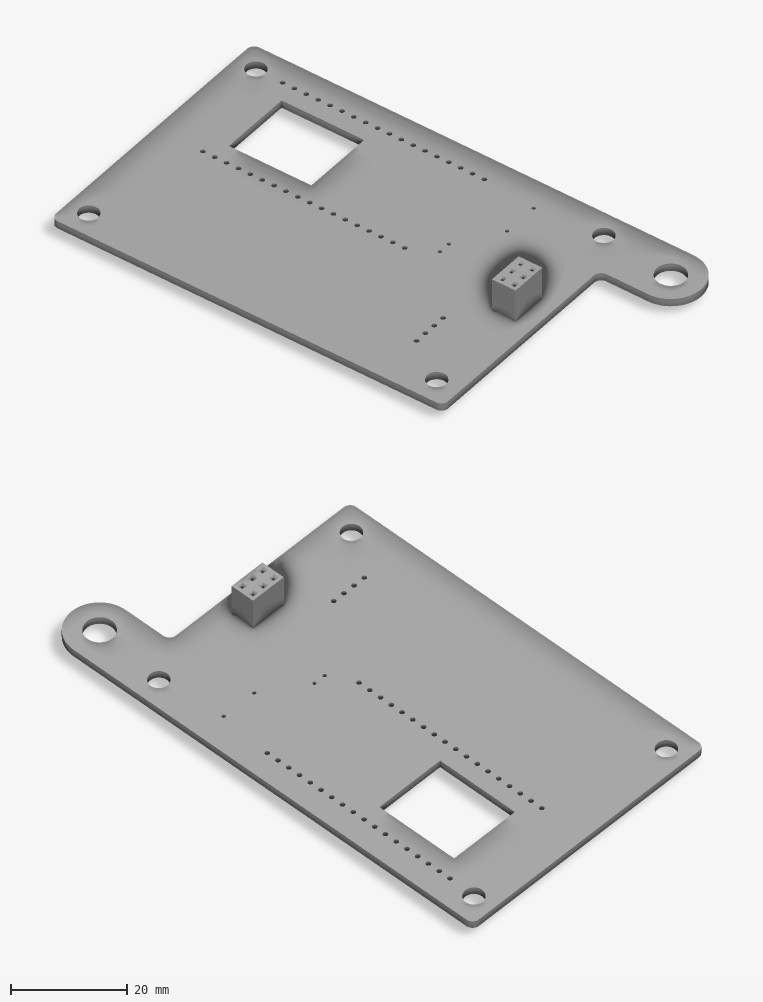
import cadquery as cq

overall_length = 101.0
board_length = 84.0
board_width = 58.0
board_thickness = 1.6
corner_radius = 1.5

tab_width = 13.0
tab_radius = tab_width / 2
tab_hole_diameter = 6.0
tab_center_x = overall_length - tab_radius
tab_center_y = board_width - tab_radius
tab_front_y = board_width - tab_width

mount_hole_diameter = 4.0
mount_hole_left_x = 4.4
mount_hole_front_y = 4.9
mount_hole_spacing_x = 74.5
mount_hole_spacing_y = 48.1

window_length = 17.7
window_width = 15.2
window_left_x = 13.0
window_front_y = 33.7

pin_hole_diameter = 1.0
small_hole_diameter = 0.76

row_hole_count = 18
row_span = 43.2
row_start_x = 10.3
row_front_y = 29.9
row_spacing = 22.9
pitch = row_span / (row_hole_count - 1)

wide_pair_x = 64.9
wide_pair_front_y = 44.0
wide_pair_spacing = 3 * pitch
close_pair_x = 59.0
close_pair_front_y = 32.7
quad_column_x = 70.0
quad_column_front_y = 11.2
quad_column_count = 4

header_center_x = 78.1
header_center_y = 29.3
header_columns = 2
header_rows = 3
header_length_x = 5.0
header_length_y = 7.7
header_height = 7.0

socket_mouth_side = 1.2
socket_side = 0.4
socket_taper_depth = 0.4
socket_depth = 5.0

groove_width = 3.4
groove_height = 0.3

pin_thickness = 0.3
pin_width = 0.6
pin_protrusion = 1.5
pin_tip_width = 0.35
pin_tip_length = 0.6


def column_points(x, front_y, spacing, count):
    """Hole centers of a column that runs along +Y."""
    return [(x, front_y + i * spacing) for i in range(count)]


def header_points():
    """Centers of the header positions, used for its sockets, pins and board holes."""
    return [
        (
            header_center_x + (column - (header_columns - 1) / 2) * pitch,
            header_center_y + (row - (header_rows - 1) / 2) * pitch,
        )
        for column in range(header_columns)
        for row in range(header_rows)
    ]


def board_blank():
    blank = (
        cq.Workplane("XY")
        .moveTo(0, 0)
        .lineTo(board_length, 0)
        .lineTo(board_length, tab_front_y)
        .lineTo(tab_center_x, tab_front_y)
        .threePointArc((overall_length, tab_center_y), (tab_center_x, board_width))
        .lineTo(0, board_width)
        .close()
        .extrude(board_thickness)
    )
    rounded_corners = [
        (0, 0),
        (board_length, 0),
        (board_length, tab_front_y),
        (0, board_width),
    ]
    for x, y in rounded_corners:
        corner_edge = cq.selectors.NearestToPointSelector((x, y, board_thickness / 2))
        blank = blank.edges("|Z").edges(corner_edge).fillet(corner_radius)
    return blank


def through_holes(points, diameter):
    return cq.Workplane("XY").pushPoints(points).circle(diameter / 2).extrude(board_thickness)


def make_board():
    mount_points = [
        (mount_hole_left_x + i * mount_hole_spacing_x, mount_hole_front_y + j * mount_hole_spacing_y)
        for i in range(2)
        for j in range(2)
    ]
    row_points = [
        (row_start_x + i * pitch, row_front_y + j * row_spacing)
        for i in range(row_hole_count)
        for j in range(2)
    ]
    quad_points = column_points(quad_column_x, quad_column_front_y, pitch, quad_column_count)
    close_pair_points = column_points(close_pair_x, close_pair_front_y, pitch, 2)
    wide_pair_points = column_points(wide_pair_x, wide_pair_front_y, wide_pair_spacing, 2)

    window = (
        cq.Workplane("XY")
        .box(window_length, window_width, board_thickness, centered=False)
        .translate((window_left_x, window_front_y, 0))
    )
    return (
        board_blank()
        .cut(through_holes([(tab_center_x, tab_center_y)], tab_hole_diameter))
        .cut(through_holes(mount_points, mount_hole_diameter))
        .cut(through_holes(row_points + quad_points + header_points(), pin_hole_diameter))
        .cut(through_holes(close_pair_points + wide_pair_points, small_hole_diameter))
        .cut(window)
    )


def header_body():
    body = (
        cq.Workplane("XY")
        .box(header_length_x, header_length_y, header_height, centered=(True, True, False))
    )
    groove = (
        cq.Workplane("XY")
        .box(groove_width, header_length_y, groove_height, centered=(True, True, False))
    )
    return body.cut(groove).translate((header_center_x, header_center_y, board_thickness))


def make_socket(x, y):
    """Square hole that opens through a tapered mouth in the top of the header."""
    top_z = board_thickness + header_height
    mouth = (
        cq.Workplane("XY", origin=(x, y, top_z))
        .rect(socket_mouth_side, socket_mouth_side)
        .workplane(offset=-socket_taper_depth)
        .rect(socket_side, socket_side)
        .loft(ruled=True)
    )
    bore = (
        cq.Workplane("XY", origin=(x, y, top_z - socket_depth))
        .rect(socket_side, socket_side)
        .extrude(socket_depth)
    )
    return mouth.union(bore)


def make_pin(x, y):
    """Flat pin from the header body down through the board to a narrowed tip."""
    shoulder_z = pin_tip_length - pin_protrusion
    shank_top_z = board_thickness + groove_height
    shank = (
        cq.Workplane("XY", origin=(x, y, shoulder_z))
        .rect(pin_thickness, pin_width)
        .extrude(shank_top_z - shoulder_z)
    )
    tip = (
        cq.Workplane("XY", origin=(x, y, -pin_protrusion))
        .rect(pin_thickness, pin_tip_width)
        .extrude(pin_tip_length)
    )
    return shank.union(tip)


def make_header():
    header = header_body()
    for x, y in header_points():
        header = header.cut(make_socket(x, y)).union(make_pin(x, y))
    return header


board = make_board()
header = make_header()

result = cq.Compound.makeCompound([board.val(), header.val()])